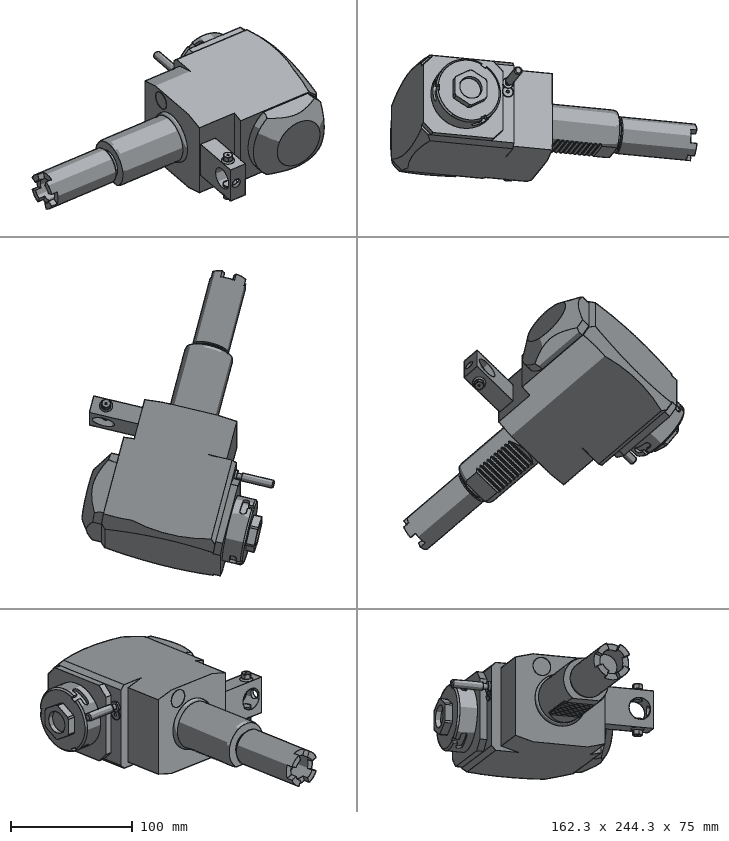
import cadquery as cq
import math


HEIGHT = 75.0
HALF_HEIGHT = HEIGHT / 2
BACK_Y = 113.75
HEAD_LEFT_X = -47.5
HEAD_RIGHT_X = 48.0
HEAD_FRONT_Y = 35.0
BASE_HALF_WIDTH = 39.0
HEAD_CHAMFER = 3.75
TAPER_ANGLE = 15.0
TAPER_START_X = 23.75
CROWN_CENTER_X = -10.0
CROWN_CENTER_Y = -20.0
CROWN_RADIUS = 130.0
PLUG_X, PLUG_Z = -16.0, 27.4
PLUG_RADIUS = 7.7
PLUG_RECESS = 0.3

SPINDLE_Y = 80.0
PLATE_LEFT_X = -53.5
PLATE_HALF_SIZE = BACK_Y - SPINDLE_Y
PLATE_CHAMFER = 8.0
NUT_LEFT_X = -70.2
NUT_RADIUS = 27.5
NUT_CHAMFER = 1.5
NUT_SLOT_COUNT = 3
NUT_SLOT_X = -62.4
NUT_SLOT_WIDTH = 5.4
NUT_SLOT_LENGTH = 18.0
NUT_SLOT_DEPTH = 2.6
NUT_NOTCH_WIDTH = 4.5
HEX_LEFT_X = -76.9
HEX_FLATS = 27.2
HEX_CORNER_DIAMETER = 30.4
SPINDLE_BORE_RADIUS = 9.4
SPINDLE_BORE_DEPTH = 4.5

COVER_RADIUS = HALF_HEIGHT
COVER_RIM_X = 55.5
COVER_END_X = 66.7
COVER_END_RADIUS = 21.4
COVER_FLAT = 30.0

NOZZLE_Y = 40.5
PIN_Z = 17.6
PIN_TIP_X = -80.5
PIN_RADIUS = 3.35
PIN_TIP_CHAMFER = 1.0
PIN_NECK_X = -53.5
PIN_NECK_RADIUS = 2.4
OPEN_NOZZLE_Z = 10.3
SEAT_RADIUS = 4.5
PIN_SEAT_HEIGHT = 1.8
OPEN_SEAT_HEIGHT = 1.0
NOZZLE_HOLE_RADIUS = 1.2
NOZZLE_HOLE_DEPTH = 8.0

COLLAR_RADIUS = 22.0
COLLAR_RIM_WIDTH = 1.0
COLLAR_WIDTH = 3.4
SHANK_RADIUS = 20.2
SHANK_CHAMFER_Y = -60.3
SHANK_END_RADIUS = 19.5
SHANK_END_Y = -63.0
NECK_RADIUS = 12.0
SHAFT_START_Y = -66.2
SHAFT_RADIUS = 15.2
SHAFT_CHAMFER = 0.8
SHAFT_END_Y = -130.5
SHAFT_BORE_RADIUS = 10.0
SHAFT_BORE_DEPTH = 20.0
DRIVE_SLOT_COUNT = 4
DRIVE_SLOT_DEPTH = 5.5
DRIVE_SLOT_HALF_ANGLE = 23.0

RACK_Z = -15.9
RACK_START_Y = -10.0
RACK_FIRST_NOTCH_Y = -12.0
RACK_PITCH = 4.0
RACK_NOTCH_COUNT = 10
NOTCH_DEPTH = 1.5
NOTCH_MOUTH = 3.8
NOTCH_FLOOR = 1.0

ARM_END_X = 81.83
ARM_FRONT_Y, ARM_BACK_Y = 1.2, 16.0
ARM_HALF_HEIGHT = 16.0
ARM_HOLE_X = 69.8
ARM_HOLE_RADIUS = 9.3
END_HOLE_RADIUS = 4.0
SCREW_Y = 7.0
SCREW_BASE_RADIUS = 5.4
SCREW_BASE_HEIGHT = 1.5
SCREW_HEX_FLATS = 7.2
SCREW_TOP_Z = 21.7
SCREW_TOP_CHAMFER = 0.7
SCREW_SHANK_RADIUS = 4.0
SCREW_TIP_Z = 7.8
SCREW_HOLE_RADIUS = 0.8
SCREW_HOLE_DEPTH = 2.0


def box(x0, x1, y0, y1, z0, z1):
    """Block between two corners."""
    return cq.Workplane("XY").box(x1 - x0, y1 - y0, z1 - z0, centered=False).translate((x0, y0, z0))


def rod(radius, x0, x1, y, z):
    """Cylinder parallel to X between x0 and x1."""
    return cq.Workplane("YZ", origin=(x0, y, z)).circle(radius).extrude(x1 - x0)


def turned(points, y, z):
    """Solid turned about an axis parallel to X through (y, z); points are (x, radius)."""
    profile = cq.Workplane("XY", origin=(0, y, z)).polyline(points).close()
    return profile.revolve(360, (0, 0, 0), (1, 0, 0))


def tapered_envelope(left_x, right_x, taper_left):
    """Full-height prism along Y whose top and bottom taper towards the sides."""
    slope = math.tan(math.radians(TAPER_ANGLE))
    right_z = HALF_HEIGHT - (right_x - TAPER_START_X) * slope
    upper = [(right_x, right_z), (TAPER_START_X, HALF_HEIGHT)]
    if taper_left:
        left_z = HALF_HEIGHT - (-TAPER_START_X - left_x) * slope
        upper += [(-TAPER_START_X, HALF_HEIGHT), (left_x, left_z)]
    else:
        upper += [(left_x + HEAD_CHAMFER, HALF_HEIGHT), (left_x, HALF_HEIGHT - HEAD_CHAMFER)]
    lower = [(x, -z) for x, z in reversed(upper)]
    return cq.Workplane("XZ").polyline(upper + lower).close().extrude(-BACK_Y)


def crown():
    """Upright turned body whose 45 degree cones bevel the rear top and bottom edges."""
    middle_radius = CROWN_RADIUS + HALF_HEIGHT
    profile = (
        cq.Workplane("XZ", origin=(CROWN_CENTER_X, CROWN_CENTER_Y, 0))
        .moveTo(0, -HALF_HEIGHT)
        .lineTo(CROWN_RADIUS, -HALF_HEIGHT)
        .lineTo(middle_radius, 0)
        .lineTo(CROWN_RADIUS, HALF_HEIGHT)
        .lineTo(0, HALF_HEIGHT)
        .close()
    )
    return profile.revolve(360, (0, 0, 0), (0, 1, 0))


def housing():
    """Wide head and narrower base with the rounded rear bevel."""
    head = tapered_envelope(HEAD_LEFT_X, HEAD_RIGHT_X, taper_left=False)
    head = head.intersect(box(HEAD_LEFT_X, HEAD_RIGHT_X, HEAD_FRONT_Y, BACK_Y, -HALF_HEIGHT, HALF_HEIGHT))
    head = head.edges("|Z and >X and >Y").chamfer(HEAD_CHAMFER)
    head = head.intersect(crown())
    base = tapered_envelope(-BASE_HALF_WIDTH, BASE_HALF_WIDTH, taper_left=True)
    base = base.intersect(
        box(-BASE_HALF_WIDTH, BASE_HALF_WIDTH, 0, HEAD_FRONT_Y, -HALF_HEIGHT, HALF_HEIGHT)
    )
    plug = cq.Workplane("XZ", origin=(PLUG_X, 0, PLUG_Z)).circle(PLUG_RADIUS).extrude(-PLUG_RECESS)
    return head.union(base).cut(plug)


def spindle_plate():
    """Square plate with cut corners carrying the spindle nut."""
    size = 2 * PLATE_HALF_SIZE
    plate = cq.Workplane("YZ", origin=(PLATE_LEFT_X, SPINDLE_Y, 0)).rect(size, size)
    return plate.extrude(HEAD_LEFT_X - PLATE_LEFT_X).edges("|X").chamfer(PLATE_CHAMFER)


def spindle_nut():
    """Round nut with wrench slots spaced evenly around its rim."""
    nut = rod(NUT_RADIUS, NUT_LEFT_X, PLATE_LEFT_X, SPINDLE_Y, 0)
    nut = nut.faces("<X").edges().chamfer(NUT_CHAMFER)
    slot_floor = NUT_RADIUS - NUT_SLOT_DEPTH
    slot = (
        cq.Workplane("XY", origin=(NUT_SLOT_X, 0, 0))
        .slot2D(NUT_SLOT_LENGTH, NUT_SLOT_WIDTH, 90)
        .extrude(2 * NUT_RADIUS)
    )
    half_notch = NUT_NOTCH_WIDTH / 2
    notch = box(NUT_LEFT_X, NUT_SLOT_X, -half_notch, half_notch, 0, 2 * NUT_RADIUS)
    core = rod(slot_floor, NUT_LEFT_X, PLATE_LEFT_X, 0, 0)
    cutter = slot.union(notch).cut(core)
    for i in range(NUT_SLOT_COUNT):
        angle = -90 + i * 360 / NUT_SLOT_COUNT
        turned_cutter = cutter.rotate((0, 0, 0), (1, 0, 0), angle)
        nut = nut.cut(turned_cutter.translate((0, SPINDLE_Y, 0)))
    return nut


def spindle_hex():
    """Hexagon on the spindle nose with rounded corners and flats facing +Y and -Y."""
    length = NUT_LEFT_X - HEX_LEFT_X
    circumscribed = HEX_FLATS / math.cos(math.radians(30))
    hexagon = cq.Workplane("YZ", origin=(HEX_LEFT_X, 0, 0)).polygon(6, circumscribed).extrude(length)
    hexagon = hexagon.rotate((0, 0, 0), (1, 0, 0), 90).translate((0, SPINDLE_Y, 0))
    return hexagon.intersect(rod(HEX_CORNER_DIAMETER / 2, HEX_LEFT_X, NUT_LEFT_X, SPINDLE_Y, 0))


def spindle_bore():
    """Blind bore in the spindle nose."""
    return rod(SPINDLE_BORE_RADIUS, HEX_LEFT_X, HEX_LEFT_X + SPINDLE_BORE_DEPTH, SPINDLE_Y, 0)


def rear_cover():
    """Conical cover, flattened above, below and behind, following the housing taper."""
    cover = turned(
        [
            (HEAD_RIGHT_X, 0),
            (HEAD_RIGHT_X, COVER_RADIUS),
            (COVER_RIM_X, COVER_RADIUS),
            (COVER_END_X, COVER_END_RADIUS),
            (COVER_END_X, 0),
        ],
        SPINDLE_Y,
        0,
    )
    flats = box(
        HEAD_RIGHT_X, COVER_END_X,
        SPINDLE_Y - COVER_RADIUS, SPINDLE_Y + COVER_FLAT,
        -COVER_FLAT, COVER_FLAT,
    )
    taper = tapered_envelope(HEAD_LEFT_X, COVER_END_X, taper_left=False)
    return cover.intersect(flats).intersect(taper)


def nozzle_seat(z, height):
    """Round seat around a coolant outlet, standing on the left face of the head."""
    return rod(SEAT_RADIUS, HEAD_LEFT_X - height, HEAD_LEFT_X, NOZZLE_Y, z)


def coolant_pin():
    """Pin with a bevelled tip standing on a thinner neck."""
    pin = rod(PIN_RADIUS, PIN_TIP_X, PIN_NECK_X, NOZZLE_Y, PIN_Z)
    pin = pin.faces("<X").edges().chamfer(PIN_TIP_CHAMFER)
    neck = rod(PIN_NECK_RADIUS, PIN_NECK_X, HEAD_LEFT_X, NOZZLE_Y, PIN_Z)
    return pin.union(neck).union(nozzle_seat(PIN_Z, PIN_SEAT_HEIGHT))


def nozzle_hole():
    """Outlet hole of the open nozzle."""
    start_x = HEAD_LEFT_X - OPEN_SEAT_HEIGHT
    return rod(NOZZLE_HOLE_RADIUS, start_x, start_x + NOZZLE_HOLE_DEPTH, NOZZLE_Y, OPEN_NOZZLE_Z)


def rack_cutter():
    """Ramp, flat and trapezoidal notches cut into the underside of the shank."""
    bottom_z = -COLLAR_RADIUS
    ramp_run = RACK_Z - bottom_z
    half_width = COLLAR_RADIUS
    profile = [
        (RACK_START_Y, RACK_Z),
        (SHANK_END_Y, RACK_Z),
        (SHANK_END_Y, bottom_z),
        (RACK_START_Y + ramp_run, bottom_z),
    ]
    cutter = cq.Workplane("YZ").polyline(profile).close().extrude(half_width, both=True)
    for i in range(RACK_NOTCH_COUNT):
        y = RACK_FIRST_NOTCH_Y - i * RACK_PITCH
        notch = [
            (y - NOTCH_MOUTH / 2, RACK_Z),
            (y - NOTCH_FLOOR / 2, RACK_Z + NOTCH_DEPTH),
            (y + NOTCH_FLOOR / 2, RACK_Z + NOTCH_DEPTH),
            (y + NOTCH_MOUTH / 2, RACK_Z),
        ]
        cutter = cutter.union(cq.Workplane("YZ").polyline(notch).close().extrude(half_width, both=True))
    return cutter.cut(box(-half_width, half_width, -COLLAR_WIDTH, 0, bottom_z, 0))


def shank():
    """Stepped shank with the drive shaft, turned about the Y axis, and the clamping rack."""
    profile = (
        cq.Workplane("XY")
        .lineTo(COLLAR_RADIUS, 0)
        .lineTo(COLLAR_RADIUS, -COLLAR_RIM_WIDTH)
        .tangentArcPoint((SHANK_RADIUS, -COLLAR_WIDTH), relative=False)
        .lineTo(SHANK_RADIUS, SHANK_CHAMFER_Y)
        .lineTo(SHANK_END_RADIUS, SHANK_END_Y)
        .lineTo(NECK_RADIUS, SHANK_END_Y)
        .lineTo(NECK_RADIUS, SHAFT_START_Y)
        .lineTo(SHAFT_RADIUS - SHAFT_CHAMFER, SHAFT_START_Y)
        .lineTo(SHAFT_RADIUS, SHAFT_START_Y - SHAFT_CHAMFER)
        .lineTo(SHAFT_RADIUS, SHAFT_END_Y)
        .lineTo(0, SHAFT_END_Y)
        .close()
    )
    body = profile.revolve(360, (0, 0, 0), (0, 1, 0))
    bore = cq.Workplane("XZ", origin=(0, SHAFT_END_Y, 0)).circle(SHAFT_BORE_RADIUS)
    return body.cut(bore.extrude(-SHAFT_BORE_DEPTH)).cut(rack_cutter()).cut(drive_slots())


def drive_slots():
    """Wedge-shaped gaps between the claws at the end of the drive shaft."""
    reach = 2 * SHAFT_RADIUS
    half_width = reach * math.tan(math.radians(DRIVE_SLOT_HALF_ANGLE))
    wedge = (
        cq.Workplane("XZ", origin=(0, SHAFT_END_Y, 0))
        .polyline([(0, 0), (reach, -half_width), (reach, half_width)])
        .close()
        .extrude(-DRIVE_SLOT_DEPTH)
    )
    slots = wedge
    for i in range(1, DRIVE_SLOT_COUNT):
        slots = slots.union(wedge.rotate((0, 0, 0), (0, 1, 0), i * 360 / DRIVE_SLOT_COUNT))
    return slots


def clamping_screw():
    """Upper screw: hexagon head on a conical base, with its tip reaching into the arm hole."""
    center = (ARM_HOLE_X, SCREW_Y)
    hex_corners = SCREW_HEX_FLATS / math.cos(math.radians(30))
    base_top_z = ARM_HALF_HEIGHT + SCREW_BASE_HEIGHT
    base = (
        cq.Workplane("XY", origin=(*center, ARM_HALF_HEIGHT))
        .circle(SCREW_BASE_RADIUS)
        .workplane(offset=SCREW_BASE_HEIGHT)
        .circle(hex_corners / 2)
        .loft()
    )
    head = (
        cq.Workplane("XY", origin=(*center, base_top_z))
        .transformed(rotate=(0, 0, 30))
        .polygon(6, hex_corners)
        .extrude(SCREW_TOP_Z - base_top_z)
    )
    envelope = (
        cq.Workplane("XY", origin=(*center, base_top_z))
        .circle(hex_corners / 2)
        .extrude(SCREW_TOP_Z - base_top_z)
        .faces(">Z")
        .edges()
        .chamfer(SCREW_TOP_CHAMFER)
    )
    hole = cq.Workplane("XY", origin=(*center, SCREW_TOP_Z)).circle(SCREW_HOLE_RADIUS)
    stem = cq.Workplane("XY", origin=(*center, SCREW_TIP_Z)).circle(SCREW_SHANK_RADIUS)
    stem = stem.extrude(ARM_HALF_HEIGHT - SCREW_TIP_Z)
    return base.union(head.intersect(envelope)).union(stem).cut(hole.extrude(-SCREW_HOLE_DEPTH))


def side_arm():
    """Arm with a cross hole, a smaller hole from its end and two opposed clamping screws."""
    arm = box(BASE_HALF_WIDTH, ARM_END_X, ARM_FRONT_Y, ARM_BACK_Y, -ARM_HALF_HEIGHT, ARM_HALF_HEIGHT)
    hole = cq.Workplane("XZ", origin=(ARM_HOLE_X, 0, 0)).circle(ARM_HOLE_RADIUS).extrude(-ARM_BACK_Y)
    end_hole = rod(END_HOLE_RADIUS, ARM_HOLE_X, ARM_END_X, SCREW_Y, 0)
    screw = clamping_screw()
    return arm.cut(hole).cut(end_hole).union(screw).union(screw.mirror("XY"))


part = housing()
for feature in (spindle_plate(), spindle_nut(), spindle_hex(), rear_cover(), shank(), side_arm()):
    part = part.union(feature)
part = part.union(coolant_pin()).union(nozzle_seat(OPEN_NOZZLE_Z, OPEN_SEAT_HEIGHT))
result = part.cut(spindle_bore()).cut(nozzle_hole())